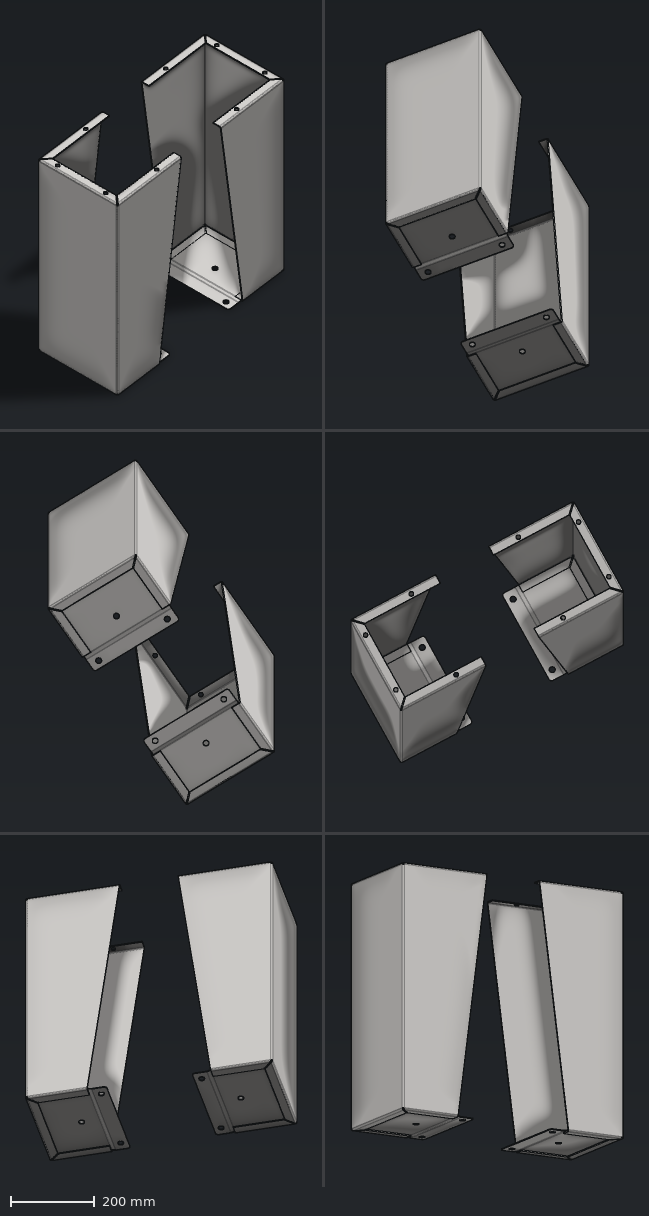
import cadquery as cq

HEIGHT = 609.5
WIDTH = 254.0
SPAN = 609.5

SHELL_SHEET = 3.0
BEND_RADIUS = 5.0
FLANGE = 25.0
MITRE_GAP = 3.0
TOP_DEPTH = 233.0
BOTTOM_DEPTH = 152.5

FLANGE_HOLE = 11.0
HOLE_INSET = 14.5
BACK_HOLE_SPACING = 152.5
SIDE_HOLE_DEPTH = 159.0

PLATE_SHEET = 2.5
LIP_DROP = 2.5
STEP_END_DEPTH = 163.0
LIP_END_DEPTH = 199.5
PLATE_BACK_CHAMFER = 8.5
LIP_CORNER_RADIUS = 7.5
PLATE_HOLE = 14.0
CENTRE_HOLE_DEPTH = 108.5
LIP_HOLE_SPACING = 196.0

BACK_Y = -SPAN / 2
STEP_START_DEPTH = BOTTOM_DEPTH + (TOP_DEPTH - BOTTOM_DEPTH) * SHELL_SHEET / HEIGHT
LIP_HOLE_DEPTH = (STEP_END_DEPTH + LIP_END_DEPTH) / 2
PLATE_INSET = BEND_RADIUS
CUT_MARGIN = 30.5
SIDES = (-1, 1)


def depth_y(depth):
    """Y at a distance from the outer face of the front shell's back wall."""
    return BACK_Y + depth


def block(half_width, y_range, z_range):
    """Box centred on X = 0 between two Y and two Z positions."""
    length = y_range[1] - y_range[0]
    height = z_range[1] - z_range[0]
    box = cq.Workplane("XY").box(2 * half_width, length, height, centered=(True, False, False))
    return box.translate((0, y_range[0], z_range[0]))


def drills(points, diameter, height):
    """Vertical cylinders standing on Z = 0 at the given points."""
    return cq.Workplane("XY").pushPoints(points).circle(diameter / 2).extrude(height)


def rounded_block(inset):
    """Solid bounded by the sheet surface at an inset from the outer face, with rounded bends."""
    body = block(
        WIDTH / 2 - inset,
        (depth_y(inset), depth_y(TOP_DEPTH + CUT_MARGIN)),
        (inset, HEIGHT - inset),
    )
    return body.faces("not >Y").edges("not >Y").fillet(BEND_RADIUS - inset)


def flange_window():
    """Opening left inside the top and bottom flanges."""
    return block(
        WIDTH / 2 - FLANGE,
        (depth_y(FLANGE), depth_y(TOP_DEPTH + 2 * CUT_MARGIN)),
        (-CUT_MARGIN, HEIGHT + CUT_MARGIN),
    )


def taper_cut():
    """Wedge that trims the open side, leaving the shell deeper at the top."""
    far_y = depth_y(TOP_DEPTH + 2 * CUT_MARGIN)
    outline = [
        (depth_y(BOTTOM_DEPTH), 0),
        (depth_y(TOP_DEPTH), HEIGHT),
        (far_y, HEIGHT),
        (far_y, 0),
    ]
    return cq.Workplane("YZ").polyline(outline).close().extrude(WIDTH, both=True)


def mitre_slot(side, base_z):
    """Diagonal slot that parts the back flange from one side flange."""
    slot_length = 4 * FLANGE
    slot = cq.Workplane("XY").box(slot_length, MITRE_GAP, BEND_RADIUS, centered=(True, True, False))
    slot = slot.rotate((0, 0, 0), (0, 0, 1), -45 * side)
    return slot.translate((side * WIDTH / 2, BACK_Y, base_z))


def top_flange_holes():
    points = []
    for side in SIDES:
        points.append((side * BACK_HOLE_SPACING / 2, depth_y(HOLE_INSET)))
        points.append((side * (WIDTH / 2 - HOLE_INSET), depth_y(SIDE_HOLE_DEPTH)))
    return drills(points, FLANGE_HOLE, SHELL_SHEET).translate((0, 0, HEIGHT - SHELL_SHEET))


def make_shell():
    """Front shell, open towards +Y."""
    shell = rounded_block(0).cut(rounded_block(SHELL_SHEET))
    shell = shell.cut(flange_window()).cut(taper_cut())
    for side in SIDES:
        for base_z in (0, HEIGHT - BEND_RADIUS):
            shell = shell.cut(mitre_slot(side, base_z))
    return shell.cut(top_flange_holes())


def plate_holes():
    points = [(0, depth_y(CENTRE_HOLE_DEPTH))]
    for side in SIDES:
        points.append((side * LIP_HOLE_SPACING / 2, depth_y(LIP_HOLE_DEPTH)))
    return drills(points, PLATE_HOLE, SHELL_SHEET + PLATE_SHEET)


def make_plate():
    """Front base plate, with its lip towards +Y."""
    plate_z = SHELL_SHEET
    lip_z = plate_z - LIP_DROP
    underside = [
        (depth_y(PLATE_INSET), plate_z),
        (depth_y(STEP_START_DEPTH), plate_z),
        (depth_y(STEP_END_DEPTH), lip_z),
        (depth_y(LIP_END_DEPTH), lip_z),
    ]
    upper_side = [(y, z + PLATE_SHEET) for y, z in reversed(underside)]
    half_width = WIDTH / 2 - PLATE_INSET
    plate = cq.Workplane("YZ").polyline(underside + upper_side).close().extrude(half_width, both=True)
    plate = plate.faces("<Y").edges("|Z").chamfer(PLATE_BACK_CHAMFER)
    plate = plate.faces(">Y").edges("|Z").fillet(LIP_CORNER_RADIUS)
    return plate.cut(plate_holes())


shell = make_shell()
plate = make_plate()
bodies = []
for turn in (0, 180):
    for body in (shell, plate):
        bodies.append(body.rotate((0, 0, 0), (0, 0, 1), turn).val())

result = cq.Compound.makeCompound(bodies)